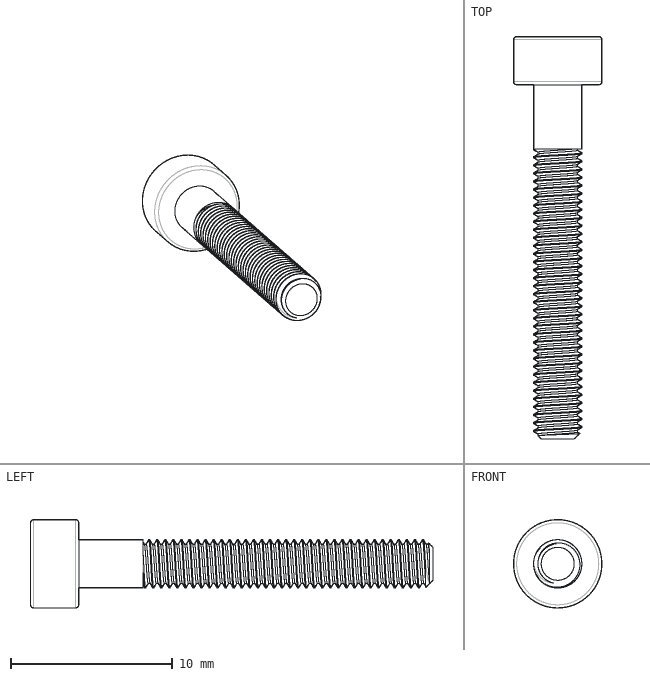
import cadquery as cq
import math

overall_length = 25.0
head_diameter = 5.5
head_height = 3.0
head_edge_radius = 0.2
shank_diameter = 3.0
plain_shank_length = 4.0
tip_chamfer = 0.48
thread_pitch = 0.5
thread_flank_angle = 30.0

thread_length = overall_length - head_height - plain_shank_length
sharp_thread_height = thread_pitch * math.cos(math.radians(thread_flank_angle))
thread_depth = sharp_thread_height * 5 / 8
crest_radius = shank_diameter / 2
root_radius = crest_radius - thread_depth
root_flat = thread_pitch / 4
flank_width = thread_depth * math.tan(math.radians(thread_flank_angle))

spare_turns = 2
built_turns = round(thread_length / thread_pitch) + 2 * spare_turns

blank_clearance = 0.25


def make_head():
    """Plain cylinder, rounded at both rims, reaching back from the origin."""
    return (
        cq.Workplane("XY")
        .circle(head_diameter / 2)
        .extrude(-head_height)
        .edges("%CIRCLE")
        .fillet(head_edge_radius)
    )


def make_plain_shank():
    return cq.Workplane("XY").circle(shank_diameter / 2).extrude(plain_shank_length)


def thread_profile(start_height):
    """(radius, height) corners of one pitch: root, rising flank, crest, falling flank."""
    root_end = start_height + root_flat
    crest_start = root_end + flank_width
    pitch_end = start_height + thread_pitch
    return [
        (root_radius, start_height),
        (root_radius, root_end),
        (crest_radius, crest_start),
        (crest_radius, pitch_end - flank_width),
        (root_radius, pitch_end),
    ]


def helix_turn(radius, start_height):
    """One right-handed turn that starts and ends facing +X."""
    helix = cq.Wire.makeHelix(thread_pitch, thread_pitch, radius)
    return helix.translate(cq.Vector(0, 0, start_height)).Edges()[0]


def make_turn_faces(start_height):
    """The four helical faces of one turn."""
    helices = [helix_turn(radius, height) for radius, height in thread_profile(start_height)]
    return [cq.Face.makeRuledSurface(lower, upper) for lower, upper in zip(helices, helices[1:])]


def make_step_face(start_height):
    """Radial face, one pitch tall, reaching from the axis to the thread."""
    axis_bottom = (0, start_height)
    axis_top = (0, start_height + thread_pitch)
    corners = [axis_bottom] + thread_profile(start_height) + [axis_top]
    points = [cq.Vector(radius, 0, height) for radius, height in corners]
    return cq.Face.makeFromWires(cq.Wire.makePolygon(points, close=True))


def make_spiral_face(start_height):
    """Spiral ramp of one turn between the axis and the root."""
    bottom = cq.Vector(0, 0, start_height)
    top = cq.Vector(0, 0, start_height + thread_pitch)
    axis = cq.Edge.makeLine(bottom, top)
    return cq.Face.makeRuledSurface(axis, helix_turn(root_radius, start_height))


def make_thread():
    """Right-handed thread whose root is centred on +X at height zero.

    Each end is closed by a spiral ramp and the step between its two ends.
    """
    first_height = -root_flat / 2 - spare_turns * thread_pitch
    last_height = first_height + built_turns * thread_pitch
    faces = []
    for turn in range(built_turns):
        faces += make_turn_faces(first_height + turn * thread_pitch)
    for end_height in (first_height, last_height):
        faces.append(make_spiral_face(end_height))
    faces.append(make_step_face(first_height))
    faces.append(make_step_face(last_height))
    return cq.Workplane(cq.Solid.makeSolid(cq.Shell.makeShell(faces)))


def make_thread_blank():
    """Oversize rod with flat ends, whose chamfer cone cuts the crests back at the tip."""
    return (
        cq.Workplane("XY")
        .circle(crest_radius + blank_clearance)
        .extrude(thread_length)
        .faces(">Z")
        .chamfer(tip_chamfer + blank_clearance)
    )


def make_threaded_shank():
    return make_thread().intersect(make_thread_blank()).translate((0, 0, plain_shank_length))


screw = make_head().union(make_plain_shank()).union(make_threaded_shank())
result = screw.rotate((0, 0, 0), (1, 0, 0), 90)